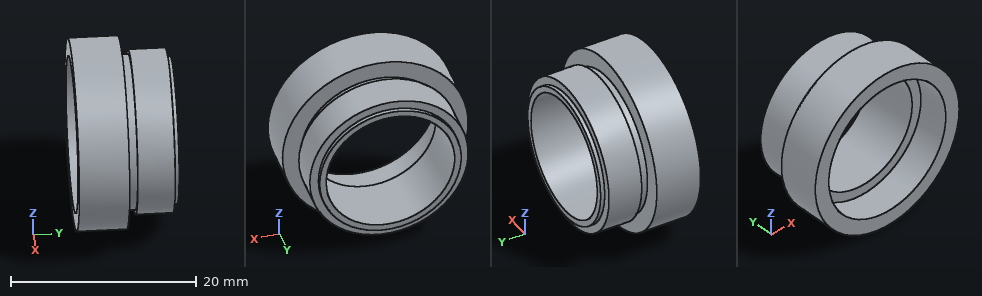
import cadquery as cq

flange_diameter = 20.97
neck_diameter = 16.88
body_diameter = 17.89
tip_diameter = 15.95

counterbore_diameter = 17.03
bore_diameter = 14.5

total_length = 11.0
neck_length = 1.0
body_length = 4.05
tip_length = 0.5
flange_length = total_length - neck_length - body_length - tip_length
counterbore_depth = 4.0


def cylinder(diameter, start, length):
    """Cylinder along +Y whose first face lies at Y = start."""
    plane = cq.Workplane("XZ", origin=(0, start, 0))
    return plane.circle(diameter / 2).extrude(-length)


outer_steps = [
    (flange_diameter, flange_length),
    (neck_diameter, neck_length),
    (body_diameter, body_length),
    (tip_diameter, tip_length),
]
result = cq.Workplane("XZ")
step_start = 0
for diameter, length in outer_steps:
    result = result.union(cylinder(diameter, step_start, length))
    step_start += length

result = result.cut(cylinder(bore_diameter, 0, total_length))
result = result.cut(cylinder(counterbore_diameter, 0, counterbore_depth))